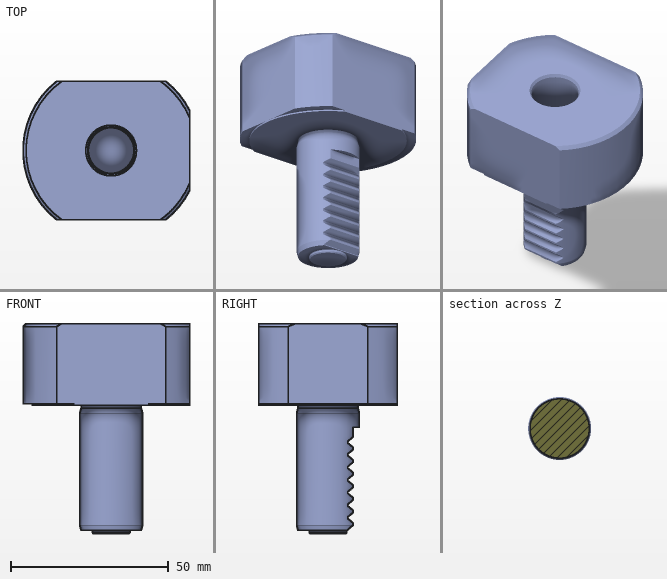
import cadquery as cq
import math

total_height = 66.6

head_radius = 28.0
head_height = 26.0
head_width = 44.0
flat_x = 25.0
head_chamfer = 1.0
pad_radius = 25.0
pad_height = 0.45
head_bottom = total_height - head_height

hole_diameter = 15.0
hole_depth = 16.0
mouth_diameter = 16.1
mouth_depth = 0.9
floor_chamfer = 0.25

shank_diameter = 20.0
taper_end_diameter = 19.1
taper_angle = 15.0
neck_height = 0.85
neck_rim_height = 0.6
waist_diameter = 19.0
boss_diameter = 12.0
boss_height = 1.0
boss_chamfer = 0.3
shank_radius = shank_diameter / 2
taper_end_radius = taper_end_diameter / 2
taper_height = (shank_radius - taper_end_radius) / math.tan(math.radians(taper_angle))

rack_top = 33.65
crest_y = 8.0
tooth_depth = 1.65
tooth_pitch = 4.0
valley_flat = 0.5
tooth_flank = 1.4
valley_count = 8
rack_clearance = 0.65


def make_head():
    """Disc with a chamfered top, a shallow round pad below and three side flats."""
    disc_bottom = head_bottom + pad_height
    disc = (
        cq.Workplane("XY", origin=(0, 0, disc_bottom))
        .circle(head_radius)
        .extrude(head_height - pad_height)
        .faces(">Z").edges().chamfer(head_chamfer)
    )
    pad = cq.Workplane("XY", origin=(0, 0, head_bottom)).circle(pad_radius).extrude(pad_height)
    flats = cq.Workplane("XY", origin=((flat_x - head_radius) / 2, 0, head_bottom)).box(
        flat_x + head_radius, head_width, head_height, centered=(True, True, False)
    )
    return disc.union(pad).intersect(flats)


def make_shank():
    """Revolved boss, tapered shank and neck, reaching up to the head."""
    neck_bottom = head_bottom - neck_height
    boss_radius = boss_diameter / 2
    profile = [
        (0, 0),
        (boss_radius - boss_chamfer, 0),
        (boss_radius, boss_chamfer),
        (boss_radius, boss_height),
        (taper_end_radius, boss_height),
        (shank_radius, boss_height + taper_height),
        (shank_radius, neck_bottom - taper_height),
        (taper_end_radius, neck_bottom),
        (waist_diameter / 2, neck_bottom),
        (taper_end_radius, head_bottom - neck_rim_height),
        (taper_end_radius, head_bottom),
        (0, head_bottom),
    ]
    return cq.Workplane("XZ").polyline(profile).close().revolve(360, (0, 0), (0, 1))


def make_rack_cutter():
    """Material removed beside the rack: a flat step plus straight tooth valleys along X."""
    outer_y = shank_radius + rack_clearance
    valley_y = crest_y - tooth_depth
    cutter = cq.Workplane("YZ").rect(outer_y - crest_y, rack_top - boss_height, centered=False)
    cutter = cutter.extrude(shank_radius, both=True).translate((0, crest_y, boss_height))
    half_flat = valley_flat / 2
    half_opening = half_flat + tooth_flank
    for index in range(valley_count):
        valley_z = boss_height + index * tooth_pitch
        valley = (
            cq.Workplane("YZ", origin=(0, 0, valley_z))
            .polyline([
                (outer_y, -half_opening),
                (crest_y, -half_opening),
                (valley_y, -half_flat),
                (valley_y, half_flat),
                (crest_y, half_opening),
                (outer_y, half_opening),
            ])
            .close()
            .extrude(shank_radius, both=True)
        )
        cutter = cutter.union(valley)
    return cutter


def make_hole():
    """Blind hole with a conical mouth and a chamfered floor corner."""
    hole_radius = hole_diameter / 2
    hole_bottom = total_height - hole_depth
    profile = [
        (0, hole_bottom),
        (hole_radius - floor_chamfer, hole_bottom),
        (hole_radius, hole_bottom + floor_chamfer),
        (hole_radius, total_height - mouth_depth),
        (mouth_diameter / 2, total_height),
        (0, total_height),
    ]
    return cq.Workplane("XZ").polyline(profile).close().revolve(360, (0, 0), (0, 1))


shank = make_shank().cut(make_rack_cutter())
result = make_head().union(shank).cut(make_hole())